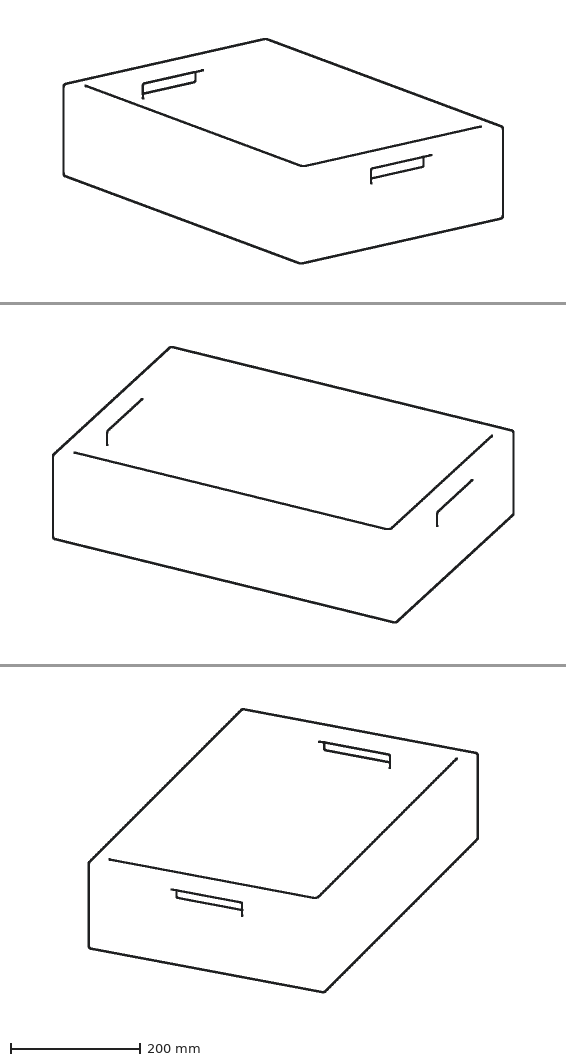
import cadquery as cq

length = 600.0
width = length * 2 / 3
height = length / 4
wall = 25.0
floor = 9.0
edge_radius = 5.0

grip_width = 120.0
grip_height = 24.0
grip_top_gap = 21.0
grip_edge_radius = 2.5


def outer_block():
    """Solid block standing on Z = 0 with every edge rounded."""
    block = cq.Workplane("XY").box(length, width, height, centered=(True, True, False))
    return block.edges().fillet(edge_radius)


def cavity():
    """Open-topped cavity with rounded upright corners and floor edge."""
    block = cq.Workplane("XY").workplane(offset=floor).box(
        length - 2 * wall, width - 2 * wall, height - floor, centered=(True, True, False)
    )
    return block.edges("|Z or <Z").fillet(edge_radius)


def round_inner_rim(tray):
    """Round the edge where the cavity meets the top face."""
    rim_selector = cq.selectors.BoxSelector(
        (-length / 2 + wall / 2, -width / 2 + wall / 2, height - edge_radius / 2),
        (length / 2 - wall / 2, width / 2 - wall / 2, height + edge_radius / 2),
    )
    return tray.edges(rim_selector).fillet(edge_radius)


def cut_grip(tray, side):
    """Cut a hand grip through one end wall and round both its mouths."""
    wall_center = side * (length - wall) / 2
    grip_center = height - grip_top_gap - grip_height / 2
    opening = (
        cq.Workplane("XY")
        .box(wall, grip_width, grip_height)
        .edges("|X")
        .fillet(grip_edge_radius)
        .translate((wall_center, 0, grip_center))
    )
    half_height = grip_height / 2 + grip_edge_radius
    mouth_selector = cq.selectors.BoxSelector(
        (wall_center - wall, -grip_width, grip_center - half_height),
        (wall_center + wall, grip_width, grip_center + half_height),
    )
    return tray.cut(opening).edges(mouth_selector).edges("not |X").fillet(grip_edge_radius)


result = round_inner_rim(outer_block().cut(cavity()))
for end_side in (-1, 1):
    result = cut_grip(result, end_side)